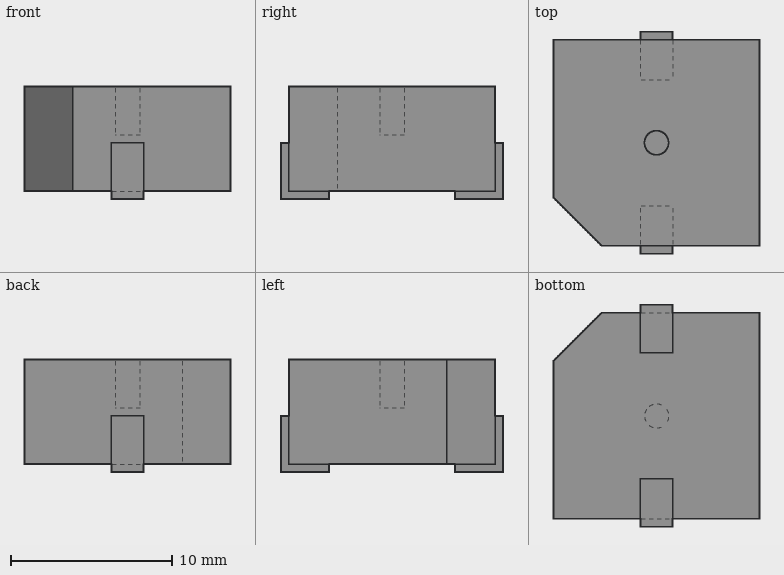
import cadquery as cq

body_side = 12.8
body_height = 6.5
corner_cut = 3.0
sound_hole_diameter = 1.5
sound_hole_depth = 3.0

lead_thickness = 0.5
lead_width = 2.0
lead_height = 3.5
foot_length = 3.0

body_bottom = lead_thickness
lead_outer_y = body_side / 2 + lead_thickness


def make_body():
    """Square housing with the vertical corner at (-X, -Y) cut off."""
    block = (
        cq.Workplane("XY")
        .workplane(offset=body_bottom)
        .rect(body_side, body_side)
        .extrude(body_height)
    )
    block = block.edges("|Z and <X and <Y").chamfer(corner_cut)
    return block.faces(">Z").workplane(origin=(0, 0, 0)).hole(sound_hole_diameter, sound_hole_depth)


def make_lead(side):
    """Terminal on the +Y (side = 1) or -Y (side = -1) wall, with its foot folded under the housing."""
    outer_y = side * lead_outer_y
    inner_y = side * (lead_outer_y - lead_thickness)
    foot_end_y = side * (lead_outer_y - foot_length)
    profile = [
        (outer_y, 0),
        (outer_y, lead_height),
        (inner_y, lead_height),
        (inner_y, lead_thickness),
        (foot_end_y, lead_thickness),
        (foot_end_y, 0),
    ]
    return cq.Workplane("YZ").polyline(profile).close().extrude(lead_width / 2, both=True)


result = make_body()
for lead_side in (-1, 1):
    result = result.union(make_lead(lead_side))